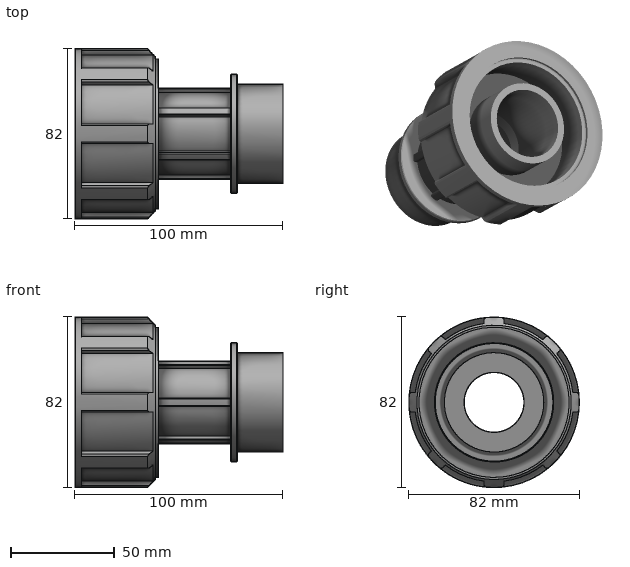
import cadquery as cq

length = 100.0
x_axis = ((0, 0, 0), (1, 0, 0))

nut_radius = 82.0 / 2
nut_collar_length = 3.0
nut_chamfer_end_radius = 37.1
nut_chamfer_start = 34.8
nut_body_length = 38.6
nut_end_radius = 72.2 / 2
nut_length = 40.0

panel_radius = 38.2
grip_rib_count = 8
grip_rib_width = 9.5
grip_rib_chamfer = 1.0

socket_radius = 61.5 / 2
socket_depth = 21.8
socket_rim_radius = 65.6 / 2
socket_rim_depth = 1.5

tube_radius = 40.0 / 2
bore_start_radius = 33.5 / 2
bore_end_radius = 28.7 / 2
bore_cone_start = nut_length
bore_cone_length = 3.3

collar_radius = 57.4 / 2
collar_start = 74.8
collar_end = 78.0
collar_chamfer = 0.4
spigot_radius = 47.8 / 2

tube_rib_count = 6
tube_rib_radius = 22.0
tube_rib_width = 4.0
tube_rib_chamfer = 0.5


def cylinder(start, end, radius):
    """Cylinder around the X axis between two X positions."""
    return cq.Workplane("YZ", origin=(start, 0, 0)).circle(radius).extrude(end - start)


def chamfered_ribs(count, start, end, radius, width, chamfer):
    """Straight ribs spaced evenly around X, the first along +Y, with chamfered edges and rounded tops."""
    half = width / 2
    rib = (
        cq.Workplane("YZ", origin=(start, 0, 0))
        .polyline(
            [
                (0, -half),
                (radius - chamfer, -half),
                (radius, -half + chamfer),
                (radius, half - chamfer),
                (radius - chamfer, half),
                (0, half),
            ]
        )
        .close()
        .extrude(end - start)
    )
    ribs = rib
    for index in range(1, count):
        ribs = ribs.union(rib.rotate(*x_axis, index * 360.0 / count))
    return ribs.intersect(cylinder(start, end, radius))


def make_nut():
    """Round nut with a chamfered end and panels sunk between the grip ribs."""
    body = (
        cq.Workplane("XY")
        .polyline(
            [
                (0, 0),
                (0, nut_radius),
                (nut_chamfer_start, nut_radius),
                (nut_body_length, nut_chamfer_end_radius),
                (nut_body_length, nut_end_radius),
                (nut_length, nut_end_radius),
                (nut_length, 0),
            ]
        )
        .close()
        .revolve(360, *x_axis)
    )
    ribs = chamfered_ribs(
        grip_rib_count, nut_collar_length, nut_length, nut_radius, grip_rib_width, grip_rib_chamfer
    )
    panels = cylinder(nut_collar_length, nut_length, nut_radius)
    panels = panels.cut(cylinder(nut_collar_length, nut_length, panel_radius)).cut(ribs)
    return body.cut(panels)


def make_socket():
    """Blind opening in the front of the nut with a shallow wider rim."""
    socket = cylinder(0, socket_depth, socket_radius)
    return socket.union(cylinder(0, socket_rim_depth, socket_rim_radius))


def make_bore():
    """Passage through the whole part, wide at the nut and narrowed by a cone."""
    bore_cone_end = bore_cone_start + bore_cone_length
    return (
        cq.Workplane("XY")
        .polyline(
            [
                (0, 0),
                (0, bore_start_radius),
                (bore_cone_start, bore_start_radius),
                (bore_cone_end, bore_end_radius),
                (length, bore_end_radius),
                (length, 0),
            ]
        )
        .close()
        .revolve(360, *x_axis)
    )


tube_ribs = chamfered_ribs(
    tube_rib_count, nut_length, collar_start, tube_rib_radius, tube_rib_width, tube_rib_chamfer
)
collar = cylinder(collar_start, collar_end, collar_radius).edges().chamfer(collar_chamfer)
spigot = cylinder(collar_end, length, spigot_radius)
tube = cylinder(0, collar_end, tube_radius)

result = (
    make_nut()
    .cut(make_socket())
    .union(tube)
    .union(tube_ribs)
    .union(collar)
    .union(spigot)
    .cut(make_bore())
)